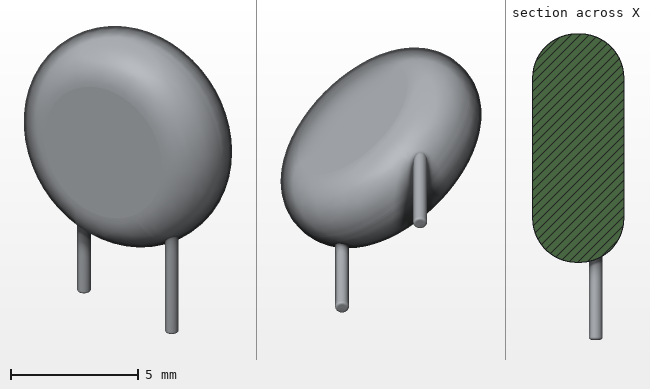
import cadquery as cq

disc_diameter = 9.0
disc_thickness = 3.6
rim_band_width = 0.1
rim_radius = (disc_thickness - rim_band_width) / 2
disc_center_z = disc_diameter / 2

lead_diameter = 0.54
lead_spacing_x = 5.0
lead_spacing_y = 1.4
lead_drop = 3.03
lead_tip_radius = 0.1


def make_disc():
    """Round disc with both rim edges rounded over."""
    disc = (
        cq.Workplane("XZ", origin=(0, 0, disc_center_z))
        .circle(disc_diameter / 2)
        .extrude(disc_thickness / 2, both=True)
    )
    return disc.edges("%CIRCLE").fillet(rim_radius)


def make_lead(x, y):
    """Vertical wire with a rounded tip, running up into the disc."""
    return (
        cq.Workplane("XY", origin=(x, y, -lead_drop))
        .circle(lead_diameter / 2)
        .extrude(lead_drop + disc_center_z)
        .faces("<Z")
        .edges()
        .fillet(lead_tip_radius)
    )


result = make_disc()
for side in (-1, 1):
    result = result.union(make_lead(side * lead_spacing_x / 2, -side * lead_spacing_y / 2))